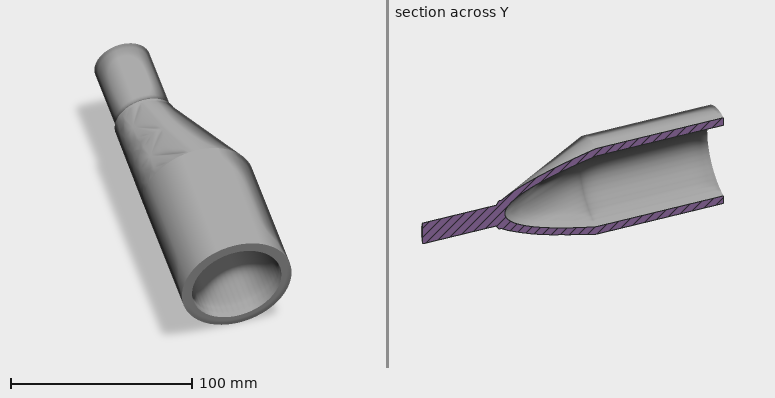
import cadquery as cq

total_length = 177.0
large_diameter = 63.0
large_bore = 51.3
small_diameter = 32.0
small_bore = 26.0
collar_diameter = 35.0

small_pipe_end = 43.4
collar_length = 1.6
cone_start = 46.5
cone_end = 102.1

small_axis_y = (collar_diameter - large_diameter) / 2
collar_start = cone_start - collar_length


def section(x_start, x_end, start_diameter, end_diameter, start_y, end_y):
    """Solid with straight walls between two circles that face along X."""
    return (
        cq.Workplane("YZ", origin=(x_start, start_y, 0))
        .circle(start_diameter / 2)
        .workplane(offset=x_end - x_start)
        .center(end_y - start_y, 0)
        .circle(end_diameter / 2)
        .loft(ruled=True)
    )


def cylinder(x_start, x_end, diameter, axis_y):
    """Solid cylinder along X."""
    return (
        cq.Workplane("YZ", origin=(x_start, axis_y, 0))
        .circle(diameter / 2)
        .extrude(x_end - x_start)
    )


body = (
    cylinder(0, small_pipe_end, small_diameter, small_axis_y)
    .union(section(small_pipe_end, collar_start, small_diameter, collar_diameter,
                   small_axis_y, small_axis_y))
    .union(cylinder(collar_start, cone_start, collar_diameter, small_axis_y))
    .union(section(cone_start, cone_end, collar_diameter, large_diameter, small_axis_y, 0))
    .union(cylinder(cone_end, total_length, large_diameter, 0))
)

bore = (
    cylinder(0, cone_start, small_bore, small_axis_y)
    .union(section(cone_start, cone_end, small_bore, large_bore, small_axis_y, 0))
    .union(cylinder(cone_end, total_length, large_bore, 0))
)

result = body.cut(bore)